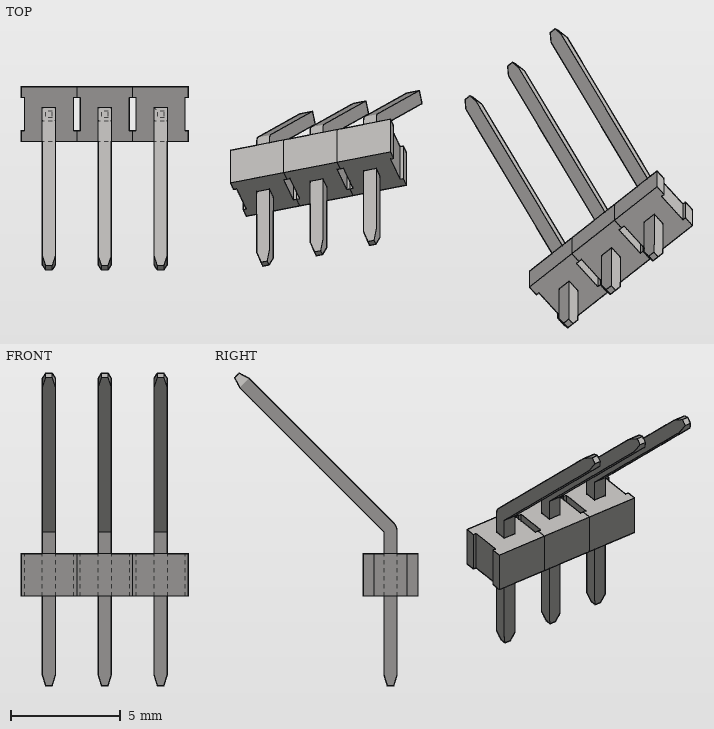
import cadquery as cq
import math


pin_count = 3
pitch = 2.54

housing_depth = 2.5
housing_height = 1.93
side_groove_depth = 0.15
side_groove_width = 1.5

pin_width = 0.61
tip_width = 0.3
tip_length = 0.5
tail_length = 4.08
overall_height = 14.23
overall_depth = 8.35
bend_angle = 45.0

lean = math.radians(bend_angle)
lean_sin = math.sin(lean)
lean_cos = math.cos(lean)
half_pin = pin_width / 2
half_tip = tip_width / 2

bend_y = -half_pin
foremost_y = housing_depth / 2 - overall_depth
highest_z = overall_height - tail_length
leg_length = (bend_y + (half_pin - half_tip) * lean_cos - foremost_y) / lean_sin
bend_z = highest_z - leg_length * lean_cos - (half_pin + half_tip) * lean_sin
leg_start = (0, bend_y + half_pin * lean_cos, bend_z + half_pin * lean_sin)
leg_direction = (0, -lean_sin, lean_cos)


def square_bar(origin, direction, length):
    """Square pin stock running from origin along direction."""
    plane = cq.Plane(origin=origin, xDir=(1, 0, 0), normal=direction)
    return cq.Workplane(plane).rect(pin_width, pin_width).extrude(length)


def pointed_bar(origin, direction, length):
    """Square bar of the given total length, ending in a flat-ended tapered tip."""
    shank_length = length - tip_length
    bar = square_bar(origin, direction, shank_length)
    plane = cq.Plane(origin=origin, xDir=(1, 0, 0), normal=direction)
    tip = (
        cq.Workplane(plane)
        .workplane(offset=shank_length)
        .rect(pin_width, pin_width)
        .workplane(offset=tip_length)
        .rect(tip_width, tip_width)
        .loft(combine=True)
    )
    return bar.union(tip)


def pin_bend():
    """Sector joining the vertical leg to the leaning leg, round on the outside."""
    half_lean = lean / 2
    arc_middle = (bend_y + pin_width * math.cos(half_lean), bend_z + pin_width * math.sin(half_lean))
    arc_end = (bend_y + pin_width * lean_cos, bend_z + pin_width * lean_sin)
    return (
        cq.Workplane("YZ")
        .moveTo(bend_y, bend_z)
        .lineTo(bend_y + pin_width, bend_z)
        .threePointArc(arc_middle, arc_end)
        .close()
        .extrude(half_pin, both=True)
    )


def make_pin():
    lower_leg = pointed_bar((0, 0, bend_z), (0, 0, -1), bend_z + tail_length)
    upper_leg = pointed_bar(leg_start, leg_direction, leg_length)
    return lower_leg.union(pin_bend()).union(upper_leg)


def make_housing():
    """Block with a full-height groove in both sides and a through hole for the pin."""
    block = cq.Workplane("XY").rect(pitch, housing_depth).extrude(housing_height)
    grooves = (
        cq.Workplane("XY")
        .pushPoints([(-pitch / 2, 0), (pitch / 2, 0)])
        .rect(2 * side_groove_depth, side_groove_width)
        .extrude(housing_height)
    )
    pin_hole = cq.Workplane("XY").rect(pin_width, pin_width).extrude(housing_height)
    return block.cut(grooves).cut(pin_hole)


bodies = []
for index in range(pin_count):
    x = (index - (pin_count - 1) / 2) * pitch
    housing = make_housing().translate((x, 0, 0))
    pin = make_pin().translate((x, 0, 0))
    bodies += [housing.val(), pin.val()]

result = cq.Compound.makeCompound(bodies)